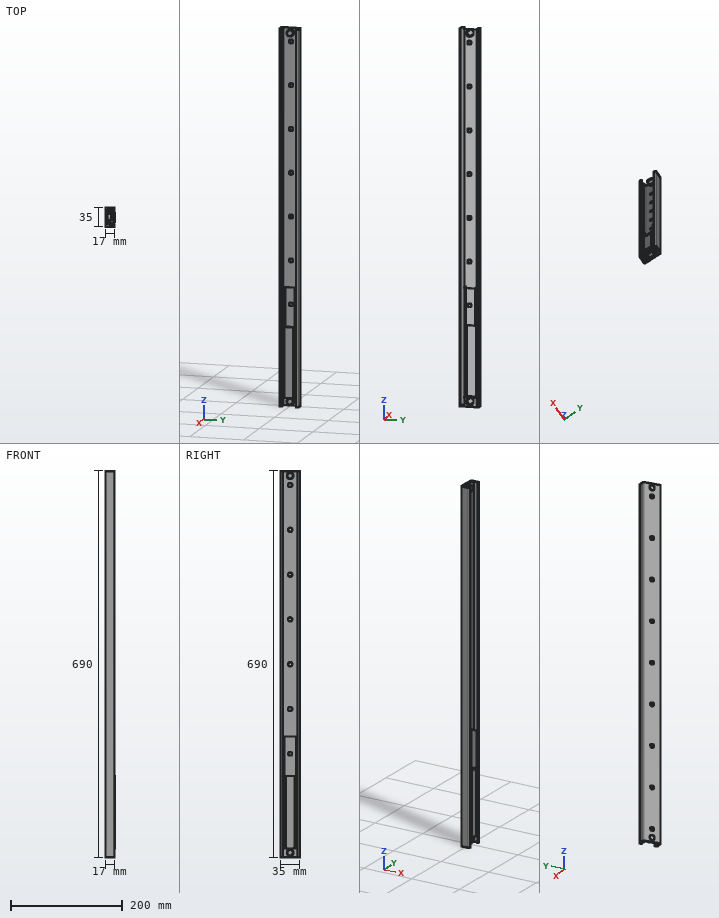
import cadquery as cq

total_depth = 17.0

rail_length = 690.0
rail_width = 35.0
slider_protrusion = 0.5
web_thickness = 3.5
flange_thickness = 4.6
back_fillet = 1.5
lip_fillet = 2.0
web_fillet = 1.5

channel_x = 3.25
channel_y = 10.5
channel_diameter = 9.0

hole_diameter = 7.0
hole_pitch = 80.0
hole_count = 9

stem_diameter = 10.0
stop_head_diameter = 12.0
stop_end_distance = 8.0
stop_front_x = 1.7

slider_length = 130.0
slider_top_z = -199.5
slider_back_x = -3.0
slider_step_x = 5.2
slider_plate_width = 16.5
slider_core_width = 15.0
slider_core_setback = 1.5

cage_length = 200.0
cage_width = 22.0
cage_thickness = 1.05
cage_back_x = -4.7
cage_front_x = 6.75

half_length = rail_length / 2
rail_back_x = -total_depth / 2
rail_front_x = total_depth / 2 - slider_protrusion
web_x = rail_back_x + web_thickness
rail_z = (-half_length, half_length)
stop_offset = half_length - stop_end_distance
stop_zs = [-stop_offset, stop_offset]
slider_front_x = total_depth / 2
slider_bottom_z = slider_top_z - slider_length
slider_z = (slider_bottom_z, slider_top_z)
cage_z = (slider_bottom_z, slider_bottom_z + cage_length)


def box_between(x_range, width, z_range):
    """Box centred on Y = 0 between the given X and Z limits."""
    x_start, x_end = x_range
    z_start, z_end = z_range
    box = cq.Workplane("XY", origin=(x_start, 0, z_start))
    return box.box(x_end - x_start, width, z_end - z_start, centered=(False, True, False))


def cylinder_along_x(diameter, x_range, z):
    """Cylinder on Y = 0 between the given X limits."""
    x_start, x_end = x_range
    return cq.Workplane("YZ", origin=(x_start, 0, z)).circle(diameter / 2).extrude(x_end - x_start)


def ball_channels(z_range):
    """Pair of round bars that cut the ball grooves."""
    z_start, z_end = z_range
    return (
        cq.Workplane("XY", origin=(0, 0, z_start))
        .pushPoints([(channel_x, channel_y), (channel_x, -channel_y)])
        .circle(channel_diameter / 2)
        .extrude(z_end - z_start)
    )


def make_rail():
    rail = box_between((rail_back_x, rail_front_x), rail_width, rail_z)
    rail = rail.edges("|Z and <X").fillet(back_fillet)
    rail = rail.edges("|Z and >X").fillet(lip_fillet)

    opening = box_between((web_x, rail_front_x), rail_width - 2 * flange_thickness, rail_z)
    rail = rail.cut(opening.edges("|Z and <X").fillet(web_fillet))
    rail = rail.cut(ball_channels(rail_z))

    web_range = (rail_back_x, web_x)
    for index in range(hole_count):
        hole_z = (index - (hole_count - 1) / 2) * hole_pitch
        rail = rail.cut(cylinder_along_x(hole_diameter, web_range, hole_z))
    for stop_z in stop_zs:
        rail = rail.cut(cylinder_along_x(stem_diameter, web_range, stop_z))
    return rail


def make_slider():
    core_z = (slider_bottom_z + slider_core_setback, slider_top_z - slider_core_setback)
    plate = box_between((slider_step_x, slider_front_x), slider_plate_width, slider_z)
    core = box_between((slider_back_x, slider_step_x), slider_core_width, core_z)
    return plate.union(core).cut(ball_channels(slider_z))


def make_cage():
    outside = box_between((cage_back_x, cage_front_x), cage_width, cage_z)
    inside = box_between((cage_back_x + cage_thickness, cage_front_x), cage_width - 2 * cage_thickness, cage_z)
    return outside.cut(inside)


def make_stop(stop_z):
    stem = cylinder_along_x(stem_diameter, (rail_back_x, web_x), stop_z)
    head = cylinder_along_x(stop_head_diameter, (web_x, stop_front_x), stop_z)
    return stem.union(head)


rail = make_rail()
slider = make_slider()
cage = make_cage()
stops = [make_stop(stop_z) for stop_z in stop_zs]

result = cq.Compound.makeCompound([rail.val(), slider.val(), cage.val(), *[stop.val() for stop in stops]])